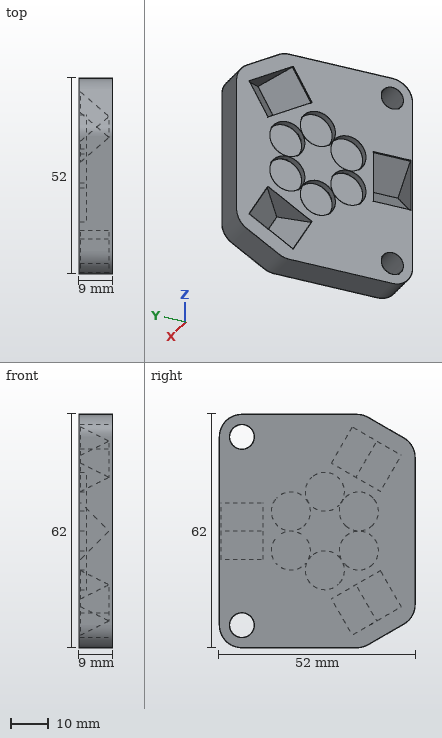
import cadquery as cq
import math

thickness = 9.0
width = 52.0
height = 62.0
back_edge = -28.0
front_edge = back_edge + width
corner_radius = 6.0
bevel_run = 13.9
bevel_rise = bevel_run * math.tan(math.radians(30))

mount_diameter = 6.5
mount_y = back_edge + corner_radius
mount_z = height / 2 - corner_radius

pocket_count = 6
pocket_diameter = 10.35
pocket_ring_radius = 10.4
pocket_depth = 2.0

groove_count = 3
groove_length = 11.1
groove_width = 15.0
groove_step = 0.5
groove_depth = groove_step + groove_width / 2
groove_radius = -mount_y


def make_plate():
    half_height = height / 2
    outline = [
        (back_edge, -half_height),
        (front_edge - bevel_run, -half_height),
        (front_edge, bevel_rise - half_height),
        (front_edge, half_height - bevel_rise),
        (front_edge - bevel_run, half_height),
        (back_edge, half_height),
    ]
    plate = cq.Workplane("YZ").polyline(outline).close().extrude(thickness)
    return plate.edges("|X").fillet(corner_radius)


def make_mount_holes():
    centres = [(mount_y, -mount_z), (mount_y, mount_z)]
    return cq.Workplane("YZ").pushPoints(centres).circle(mount_diameter / 2).extrude(thickness)


def make_round_pockets():
    return (
        cq.Workplane("YZ")
        .polarArray(pocket_ring_radius, 90, 360, pocket_count)
        .circle(pocket_diameter / 2)
        .extrude(pocket_depth, combine=False)
    )


def make_groove(angle):
    half_width = groove_width / 2
    profile = [
        (0, -half_width),
        (groove_step, -half_width),
        (groove_depth, 0),
        (groove_step, half_width),
        (0, half_width),
    ]
    outer_end = -groove_radius - groove_length / 2
    groove = (
        cq.Workplane("XZ", origin=(0, outer_end, 0))
        .polyline(profile)
        .close()
        .extrude(-groove_length)
    )
    return groove.rotate((0, 0, 0), (1, 0, 0), angle)


result = make_plate().cut(make_mount_holes()).cut(make_round_pockets())
for index in range(groove_count):
    result = result.cut(make_groove(index * 360 / groove_count))